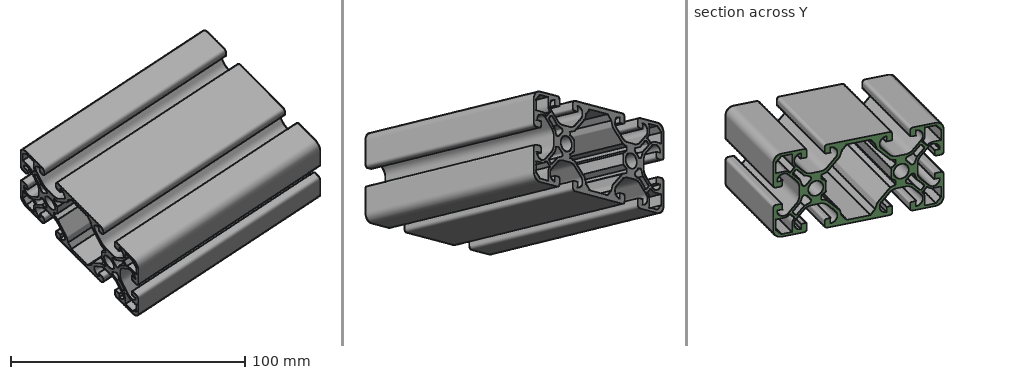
import cadquery as cq
import math

CELL = 40.0
LENGTH = 100.0
HALF_CELL = CELL / 2
CORNER_RADIUS = 4.0
BORE_DIAMETER = 6.8

COINCIDENT = 1e-06

MOUTH_HALF = 4.0
LIP_LENGTH = 3.0
LIP_THICKNESS = 4.5
LIP_OUTER_RADIUS = 1.5
LIP_INNER_RADIUS = 1.0
SKIN = 2.0
GROOVE_RADIUS = 3.0
SLOT_DEPTH = 12.2
FLOOR_RADIUS = 4.6
MOUTH_OVERCUT = 3.0

LIP_BACK = MOUTH_HALF + LIP_LENGTH
GROOVE_TOP = HALF_CELL - SKIN
GROOVE_HALF = LIP_BACK + GROOVE_RADIUS
FLANK_OFFSET = GROOVE_TOP - GROOVE_RADIUS - LIP_BACK - GROOVE_RADIUS * math.sqrt(2)

OUTER_WALL = 1.5
GROOVE_WALL = 1.2
HOLLOW_RADIUS = GROOVE_RADIUS + GROOVE_WALL
CORNER_CHAMFER = 2.4
DIAGONAL_WALL = 1.4
DIAGONAL_CORNER_RADIUS = 0.5

WEB_SUM = 22.1
WEB_THICKNESS = 1.5

BULB_NECK = 7.2
BULB_SHOULDER = 6.0
BULB_SIDE = 2.3
BULB_RADIUS = 0.9
BULB_SUM = 7.1

CHAMBER_SKIN = 2.1
CHAMBER_ROOF_HALF = 5.5
CHAMBER_SHOULDER = (7.7, 15.5)
CHAMBER_KNEE_X = 8.6
CHAMBER_KNEE_RADIUS = 1.0
CHAMBER_FLANK_SUM = 21.4
CHAMBER_FLANK_END_X = 14.8
CHAMBER_NOTCH = (17.4, 5.8)
CHAMBER_NOTCH_BASE = 4.2
CHAMBER_WAIST = (15.1, 2.5)


def rounded_prism(corners):
    """Extrude a closed outline of (x, z, radius) corners over the full length."""
    path = []
    count = len(corners)
    for index, (x, z, radius) in enumerate(corners):
        before = corners[index - 1]
        after = corners[(index + 1) % count]
        corner = cq.Vector(x, 0, z)
        back = (cq.Vector(before[0], 0, before[1]) - corner).normalized()
        ahead = (cq.Vector(after[0], 0, after[1]) - corner).normalized()
        half_angle = back.getAngle(ahead) / 2
        setback = radius / math.tan(half_angle)
        reach = radius / math.sin(half_angle) - radius
        middle = corner + (back + ahead).normalized() * reach
        path.append((corner + back * setback, middle, corner + ahead * setback))

    edges = []
    for index, (start, middle, end) in enumerate(path):
        previous_end = path[index - 1][2]
        if (start - previous_end).Length > COINCIDENT:
            edges.append(cq.Edge.makeLine(previous_end, start))
        if (end - start).Length > COINCIDENT:
            edges.append(cq.Edge.makeThreePointArc(start, middle, end))
    wire = cq.Wire.assembleEdges(edges)
    outline = cq.Workplane("XZ").newObject([wire])
    return outline.toPending().extrude(LENGTH / 2, both=True)


def mirrored_in_x(corners):
    """Complete a right-hand run of corners with its mirror image in the Z axis."""
    return corners + [(-x, z, radius) for x, z, radius in reversed(corners)]


def mirrored_in_diagonal(corners):
    """Complete a run of corners with its mirror image in the line x = z."""
    return corners + [(z, x, radius) for x, z, radius in reversed(corners)]


def slot():
    """T-slot open towards +Z, for a cell centred on the origin."""
    floor = HALF_CELL - SLOT_DEPTH
    lip_bottom = HALF_CELL - LIP_THICKNESS
    return rounded_prism(mirrored_in_x([
        (MOUTH_HALF + MOUTH_OVERCUT, HALF_CELL + MOUTH_OVERCUT, 0),
        (MOUTH_HALF + MOUTH_OVERCUT, HALF_CELL, 0),
        (MOUTH_HALF, HALF_CELL, LIP_OUTER_RADIUS),
        (MOUTH_HALF, lip_bottom, LIP_INNER_RADIUS),
        (LIP_BACK, lip_bottom, 0),
        (LIP_BACK, GROOVE_TOP, 0),
        (GROOVE_HALF, GROOVE_TOP, GROOVE_RADIUS),
        (GROOVE_HALF, GROOVE_HALF + FLANK_OFFSET, GROOVE_RADIUS),
        (floor - FLANK_OFFSET, floor, FLOOR_RADIUS),
    ]))


def corner_hollow():
    """Hollow behind the (+X, +Z) outer corner of a cell centred on the origin."""
    outer = HALF_CELL - OUTER_WALL
    inner = GROOVE_HALF + GROOVE_WALL
    flank = FLANK_OFFSET - GROOVE_WALL * math.sqrt(2)
    return rounded_prism(mirrored_in_diagonal([
        (outer - CORNER_CHAMFER, outer, 0),
        (inner, outer, 0),
        (inner, inner + flank, HOLLOW_RADIUS),
        ((WEB_SUM - flank) / 2, (WEB_SUM + flank) / 2, 0),
    ]))


def diagonal_hollow():
    """Bulb-ended hollow between the bore and the (+X, +Z) corner of a cell."""
    flank = FLANK_OFFSET - DIAGONAL_WALL * math.sqrt(2)
    web_inner = WEB_SUM - WEB_THICKNESS * math.sqrt(2)
    bulb_end = BULB_SUM - BULB_SIDE
    return rounded_prism(mirrored_in_diagonal([
        ((web_inner - flank) / 2, (web_inner + flank) / 2, DIAGONAL_CORNER_RADIUS),
        (BULB_NECK - flank, BULB_NECK, 0),
        (BULB_SIDE, BULB_SHOULDER, BULB_RADIUS),
        (BULB_SIDE, bulb_end, BULB_RADIUS),
    ]))


def middle_chamber():
    """Large chamber between the two bores, symmetric about X and Z."""
    shoulder_x, shoulder_z = CHAMBER_SHOULDER
    notch_x, notch_z = CHAMBER_NOTCH
    waist_x, waist_z = CHAMBER_WAIST
    flank_end_z = CHAMBER_FLANK_SUM - CHAMBER_FLANK_END_X
    quarter = [
        (CHAMBER_ROOF_HALF, HALF_CELL - CHAMBER_SKIN, 0),
        (shoulder_x, shoulder_z, 0),
        (CHAMBER_KNEE_X, CHAMBER_FLANK_SUM - CHAMBER_KNEE_X, CHAMBER_KNEE_RADIUS),
        (CHAMBER_FLANK_END_X, flank_end_z, 0),
        (notch_x, notch_z, 0),
        (notch_x, CHAMBER_NOTCH_BASE, 0),
        (waist_x, waist_z, 0),
    ]
    right_half = quarter + [(x, -z, radius) for x, z, radius in reversed(quarter)]
    return rounded_prism(mirrored_in_x(right_half))


def bore():
    """Round core bore along the axis of a cell."""
    return cq.Workplane("XZ").circle(BORE_DIAMETER / 2).extrude(LENGTH / 2, both=True)


def right_cell_cuts():
    """Everything removed from the right-hand cell, centred on the origin."""
    cuts = [bore()]
    for angle in (0, 90, 180):
        cuts.append(slot().rotate((0, 0, 0), (0, 1, 0), angle))
    for angle in (0, 90):
        for hollow in (corner_hollow(), diagonal_hollow()):
            cuts.append(hollow.rotate((0, 0, 0), (0, 1, 0), angle))
    return cuts


result = cq.Workplane("XY").box(2 * CELL, LENGTH, CELL).edges("|Y").fillet(CORNER_RADIUS)
for cut in right_cell_cuts():
    right_cut = cut.translate((HALF_CELL, 0, 0))
    left_cut = right_cut.mirror("YZ")
    result = result.cut(right_cut).cut(left_cut)
result = result.cut(middle_chamber())